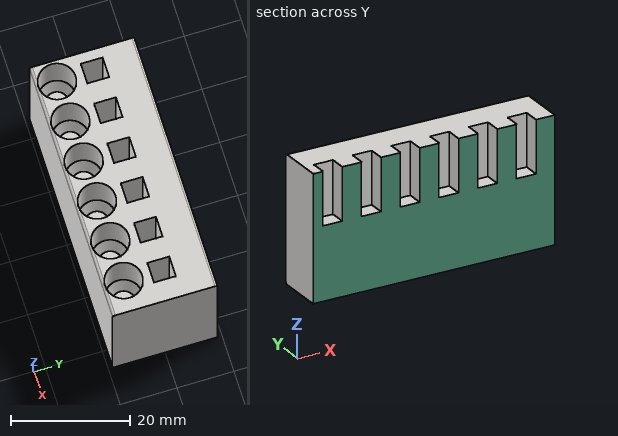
import cadquery as cq

LENGTH = 46.8
WIDTH = 18.5
HEIGHT = 24.15
EDGE_RADIUS = 0.5

POLE_COUNT = 6
POLE_PITCH = 7.5
FIRST_POLE_X = -LENGTH / 2 + POLE_PITCH / 2

FUNNEL_Y = -WIDTH / 2 + 3.7
BORE_DIAMETER = 6.5
BORE_DEPTH = 8.0
FLOOR_DIAMETER = 4.0
TAPER_DEPTH = 2.05

POCKET_Y = -WIDTH / 2 + 10.375
POCKET_LENGTH = 3.7
POCKET_WIDTH = 3.85
POCKET_DEPTH = BORE_DEPTH + TAPER_DEPTH


def housing():
    """Block with its four long edges rounded."""
    block = cq.Workplane("XY").box(LENGTH, WIDTH, HEIGHT, centered=(True, True, False))
    return block.edges("|X").fillet(EDGE_RADIUS)


def wire_funnel(x):
    """Solid of revolution that cuts one wire funnel at the given X."""
    bore_end = HEIGHT - BORE_DEPTH
    floor = bore_end - TAPER_DEPTH
    profile = [
        (0, HEIGHT),
        (BORE_DIAMETER / 2, HEIGHT),
        (BORE_DIAMETER / 2, bore_end),
        (FLOOR_DIAMETER / 2, floor),
        (0, floor),
    ]
    cutter = cq.Workplane("XZ").polyline(profile).close().revolve(360, (0, 0), (0, 1))
    return cutter.translate((x, FUNNEL_Y, 0))


def actuator_pocket(x):
    """Prism that cuts one actuator pocket at the given X."""
    prism = cq.Workplane("XY").box(
        POCKET_LENGTH, POCKET_WIDTH, POCKET_DEPTH, centered=(True, True, False)
    )
    return prism.translate((x, POCKET_Y, HEIGHT - POCKET_DEPTH))


result = housing()
for pole in range(POLE_COUNT):
    pole_x = FIRST_POLE_X + pole * POLE_PITCH
    result = result.cut(wire_funnel(pole_x)).cut(actuator_pocket(pole_x))